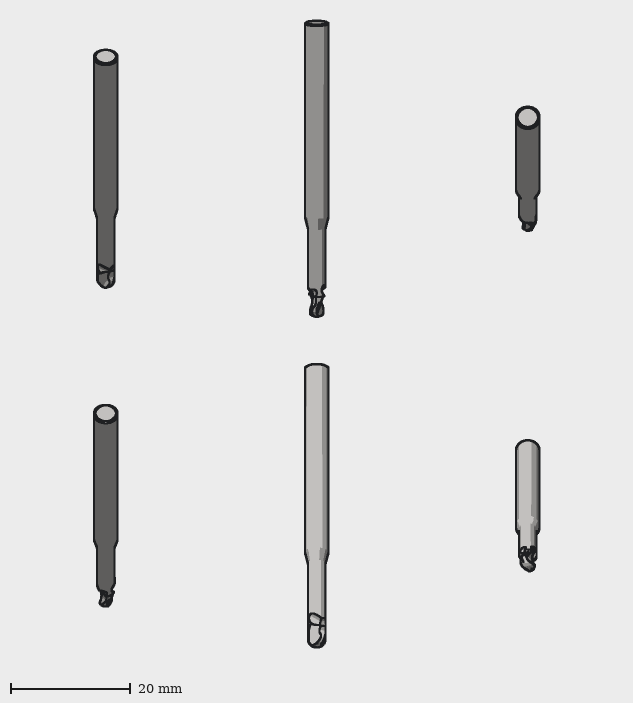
import cadquery as cq
import math

total_length = 50.0
shank_radius = 2.0
neck_radius = 1.5
end_chamfer_width = 0.3
end_chamfer_height = 0.2
cone_bottom_z = 15.0
cone_top_z = 17.0
split_z = 3.65

waist_half_width = 0.875
bulb_radius = 1.3
bulb_fillet = 1.5
flank_top_z = 3.0
flank_tip_half_width = 1.05
web_half_thickness = 0.75
web_tip_angle = 15.0
web_twist = 60.0

runout_radius = 0.9
leading_lean = 25.0
leading_climb = 30.0
trailing_lean = 5.0
trailing_climb = 25.0
runout_length = 7.0


def make_shank():
    """Chamfered shank, cone and neck, with flute run-outs half a turn apart."""
    shank = (
        cq.Workplane("XZ")
        .moveTo(0, split_z)
        .lineTo(neck_radius, split_z)
        .lineTo(neck_radius, cone_bottom_z)
        .lineTo(shank_radius, cone_top_z)
        .lineTo(shank_radius, total_length - end_chamfer_height)
        .lineTo(shank_radius - end_chamfer_width, total_length)
        .lineTo(0, total_length)
        .close()
        .revolve(360, (0, 0, 0), (0, 1, 0))
    )
    leading_runout = make_runout(leading_climb, leading_lean)
    trailing_runout = make_runout(trailing_climb, trailing_lean).mirror("XZ")
    for angle in (0, 180):
        shank = shank.cut(leading_runout.rotate((0, 0, 0), (0, 0, 1), angle))
        shank = shank.cut(trailing_runout.rotate((0, 0, 0), (0, 0, 1), angle))
    return shank


def make_runout(climb, lean):
    """Round scoop on the +X side, climbing and closing in towards -Y."""
    return (
        cq.Workplane("XZ")
        .circle(runout_radius)
        .extrude(runout_length / 2, both=True)
        .rotate((0, 0, 0), (1, 0, 0), -climb)
        .rotate((0, 0, 0), (0, 0, 1), -lean)
        .translate((waist_half_width + runout_radius, 0, split_z))
    )


def make_ball_blank():
    """Round bar with a hemispherical lower end."""
    bar = cq.Workplane("XY").workplane(offset=neck_radius).circle(neck_radius).extrude(split_z - neck_radius)
    return bar.union(cq.Workplane("XY").sphere(neck_radius).translate((0, 0, neck_radius)))


def make_bulb_outline():
    """Prism along Y: a round bulb blended by hollow arcs into a straight waist."""
    hollow_x = waist_half_width + bulb_fillet
    centre_distance = bulb_radius + bulb_fillet
    hollow_z = bulb_radius + math.sqrt(centre_distance**2 - hollow_x**2)
    blend = bulb_radius / centre_distance
    tangent_x = hollow_x * blend
    tangent_z = bulb_radius + (hollow_z - bulb_radius) * blend
    middle_angle = (math.pi + math.atan2(tangent_z - hollow_z, tangent_x - hollow_x) % (2 * math.pi)) / 2
    middle_x = hollow_x + bulb_fillet * math.cos(middle_angle)
    middle_z = hollow_z + bulb_fillet * math.sin(middle_angle)
    return (
        cq.Workplane("XZ")
        .moveTo(-waist_half_width, split_z)
        .lineTo(waist_half_width, split_z)
        .lineTo(waist_half_width, hollow_z)
        .threePointArc((middle_x, middle_z), (tangent_x, tangent_z))
        .threePointArc((0, 0), (-tangent_x, tangent_z))
        .threePointArc((-middle_x, middle_z), (-waist_half_width, hollow_z))
        .close()
        .extrude(neck_radius, both=True)
    )


def make_flank_outline():
    """Prism along X: full width at the top, tapering towards the tip."""
    return (
        cq.Workplane("YZ")
        .polyline([
            (-flank_tip_half_width, 0),
            (flank_tip_half_width, 0),
            (neck_radius, flank_top_z),
            (neck_radius, split_z),
            (-neck_radius, split_z),
            (-neck_radius, flank_top_z),
        ])
        .close()
        .extrude(neck_radius, both=True)
    )


def make_web():
    """Twisted slab left standing between the two helical flutes."""
    return (
        cq.Workplane("XY")
        .rect(4 * neck_radius, 2 * web_half_thickness)
        .twistExtrude(split_z, web_twist)
        .rotate((0, 0, 0), (0, 0, 1), web_tip_angle)
    )


def make_cutting_head():
    """Two-flute ball-nosed cutting head."""
    return (
        make_ball_blank()
        .intersect(make_bulb_outline())
        .intersect(make_flank_outline())
        .intersect(make_web())
    )


shank = make_shank()
cutting_head = make_cutting_head()
result = cq.Compound.makeCompound([shank.val(), cutting_head.val()])